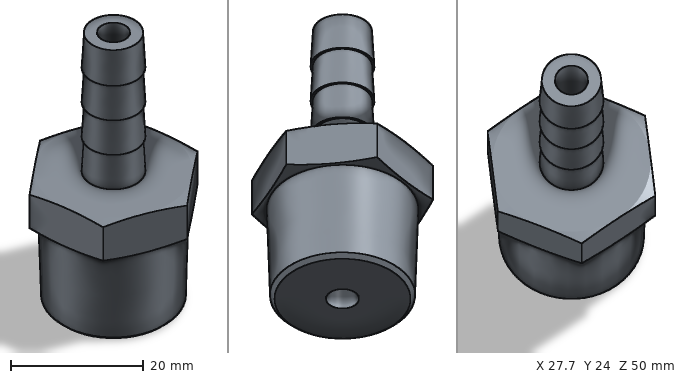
import cadquery as cq
import math

total_height = 50.0
bore_diameter = 5.0

shank_height = 16.7
shank_top_diameter = 23.0
shank_bottom_diameter = 22.0
shank_chamfer_height = 0.7
shank_chamfer_width = 0.7

hex_across_flats = 24.0
hex_top = 24.0
hex_chamfer_angle = 15.0

barb_count = 4
barb_tip_diameter = 9.0
barb_root_diameter = 9.7
barb_height = (total_height - hex_top) / barb_count

hex_height = hex_top - shank_height
hex_across_corners = hex_across_flats / math.cos(math.radians(30))


def revolve_profile(points):
    """Turn a closed (radius, height) outline about the Z axis."""
    return cq.Workplane("XZ").polyline(points).close().revolve(360, (0, 0, 0), (0, 1, 0))


def make_shank():
    bottom_radius = shank_bottom_diameter / 2
    return revolve_profile([
        (0, 0),
        (bottom_radius - shank_chamfer_width, 0),
        (bottom_radius, shank_chamfer_height),
        (shank_top_diameter / 2, shank_height),
        (0, shank_height),
    ])


def make_hexagon():
    """Hexagon with corners on the X axis, its corners trimmed by a cone at each end."""
    prism = (
        cq.Workplane("XY")
        .workplane(offset=shank_height)
        .polygon(6, hex_across_corners)
        .extrude(hex_height)
    )
    flat_radius = hex_across_flats / 2
    corner_radius = hex_across_corners / 2
    drop = (corner_radius - flat_radius) * math.tan(math.radians(hex_chamfer_angle))
    trimming_body = revolve_profile([
        (0, shank_height),
        (flat_radius, shank_height),
        (corner_radius, shank_height + drop),
        (corner_radius, hex_top - drop),
        (flat_radius, hex_top),
        (0, hex_top),
    ])
    return prism.intersect(trimming_body)


def make_barb(index):
    base = hex_top + index * barb_height
    return revolve_profile([
        (0, base),
        (barb_root_diameter / 2, base),
        (barb_tip_diameter / 2, base + barb_height),
        (0, base + barb_height),
    ])


body = make_shank().union(make_hexagon())
for barb_index in range(barb_count):
    body = body.union(make_barb(barb_index))

bore = cq.Workplane("XY").circle(bore_diameter / 2).extrude(total_height)
result = body.cut(bore)